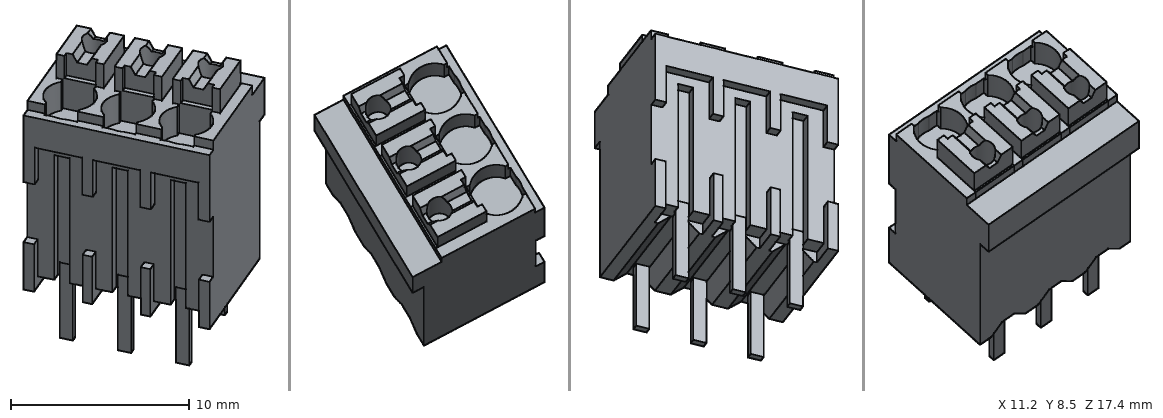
import cadquery as cq


pole_count = 3
pole_pitch = 3.5
pole_centers = [(i - (pole_count - 1) / 2) * pole_pitch for i in range(pole_count)]

housing_width = 11.2
housing_bottom = 3.52
shoulder_height = 15.2
housing_top = 15.82
rear_wall_y = 7.77
flange_rear_y = 8.5
flange_bottom = 12.73
top_land_front_y = 0.61
top_land_rear_y = 6.64

recess_depth = 0.55
recess_width = 2.85
recess_top = 13.2
band_top = 10.73
band_bottom = 6.7
foot_gap_width = 2.93

pin_width = 0.8
pin_offset = 0.03
pin_thickness = 0.4
pin_top = 5.07
front_pin_y = 1.13
pin_row_spacing = 5.5
pin_rows = [front_pin_y, front_pin_y + pin_row_spacing]

slot_width = 0.92
slot_top = 12.6
relief_top = 4.22
groove_mouth_width = 2.53
front_relief_rear_y = front_pin_y + pin_thickness

entry_offset = -0.05
entry_radius = 1.52
entry_center_y = 1.95
entry_floor = 13.88
entry_slot_width = 1.99
entry_slot_front_y = 0.49

button_width = recess_width
button_front_y = 3.36
button_rear_y = 6.52
button_top = 17.42
button_bottom = entry_floor
face_recess_width = 1.88
face_recess_depth = 0.31
face_recess_floor = 15.92
notch_top_width = 1.15
notch_floor_width = 0.6
notch_depth = 0.49
guide_hole_radius = 0.71
guide_hole_y = 5.57
guide_hole_floor = 14.8


def block(x_center, width, y_front, y_rear, z_bottom, z_top):
    """Box centred on x_center and spanning the given Y and Z limits."""
    return cq.Workplane("XY").box(
        width, y_rear - y_front, z_top - z_bottom, centered=(True, False, False)
    ).translate((x_center, y_front, z_bottom))


def make_pin(x, y_front):
    """Straight rectangular solder pin."""
    return block(x + pin_offset, pin_width, y_front, y_front + pin_thickness, 0, pin_top)


def button_blank(x):
    """Button outline, with a rear ledge level with the top of the housing."""
    column = block(x, button_width, button_front_y, button_rear_y, button_bottom, button_top)
    ledge = block(x, button_width, button_front_y, top_land_rear_y, button_bottom, housing_top)
    return column.union(ledge)


def make_button(x):
    """Push button with a recessed face, a V notch along Y and a blind tool hole."""
    face_recess = block(
        x, face_recess_width, button_front_y, button_front_y + face_recess_depth,
        face_recess_floor, button_top,
    )
    notch_floor = button_top - notch_depth
    notch = (
        cq.Workplane("XZ", origin=(x, button_front_y, 0))
        .moveTo(-notch_top_width / 2, button_top)
        .lineTo(-notch_floor_width / 2, notch_floor)
        .lineTo(notch_floor_width / 2, notch_floor)
        .lineTo(notch_top_width / 2, button_top)
        .close()
        .extrude(button_front_y - button_rear_y)
    )
    guide_hole = (
        cq.Workplane("XY", origin=(x, guide_hole_y, guide_hole_floor))
        .circle(guide_hole_radius)
        .extrude(button_top - guide_hole_floor)
    )
    return button_blank(x).cut(face_recess).cut(notch).cut(guide_hole)


def housing_body():
    """Side profile of the housing, extruded across its full width."""
    outline = [
        (0, housing_bottom),
        (0, band_bottom),
        (recess_depth, band_bottom),
        (recess_depth, band_top),
        (0, band_top),
        (0, shoulder_height),
        (top_land_front_y, shoulder_height),
        (top_land_front_y, housing_top),
        (top_land_rear_y, housing_top),
        (top_land_rear_y, shoulder_height),
        (flange_rear_y, shoulder_height),
        (flange_rear_y, flange_bottom),
        (rear_wall_y, flange_bottom),
        (rear_wall_y, housing_bottom),
    ]
    return cq.Workplane("YZ").polyline(outline).close().extrude(housing_width / 2, both=True)


def front_recess(x):
    """Recess in the front wall between the upper tabs and between the feet, with the pin slot."""
    upper = block(x, recess_width, 0, recess_depth, band_top, recess_top)
    lower = block(x, foot_gap_width, 0, recess_depth, housing_bottom, band_bottom)
    slot = block(x, slot_width, 0, front_pin_y, housing_bottom, slot_top)
    return upper.union(lower).union(slot)


def bottom_relief(x):
    """Raised underside at the front and a sloped groove running to the rear wall."""
    front = block(x, foot_gap_width, 0, front_relief_rear_y, housing_bottom, relief_top)
    groove = (
        cq.Workplane("XZ", origin=(x, 0, 0))
        .moveTo(-groove_mouth_width / 2, housing_bottom)
        .lineTo(-slot_width / 2, relief_top)
        .lineTo(slot_width / 2, relief_top)
        .lineTo(groove_mouth_width / 2, housing_bottom)
        .close()
        .extrude(-rear_wall_y)
    )
    return front.union(groove)


def wire_entry(x):
    """Round wire funnel crossed by a straight slot that ends at the button."""
    entry_x = x + entry_offset
    funnel = (
        cq.Workplane("XY", origin=(entry_x, entry_center_y, entry_floor))
        .circle(entry_radius)
        .extrude(housing_top - entry_floor)
    )
    slot = block(
        entry_x, entry_slot_width, entry_slot_front_y, button_front_y, entry_floor, housing_top
    )
    limit = block(
        entry_x, 2 * entry_radius, entry_slot_front_y - entry_radius, button_front_y,
        entry_floor, housing_top,
    )
    return funnel.union(slot).intersect(limit)


def make_housing():
    """Housing with the pockets that hold the buttons and pins."""
    housing = housing_body()
    for x in pole_centers:
        housing = housing.cut(front_recess(x)).cut(bottom_relief(x))
        housing = housing.cut(wire_entry(x)).cut(button_blank(x))
        for y in pin_rows:
            housing = housing.cut(make_pin(x, y))
    return housing


housing = make_housing()
buttons = [make_button(x) for x in pole_centers]
pins = [make_pin(x, y) for y in pin_rows for x in pole_centers]

result = cq.Compound.makeCompound(
    [housing.val()] + [button.val() for button in buttons] + [pin.val() for pin in pins]
)